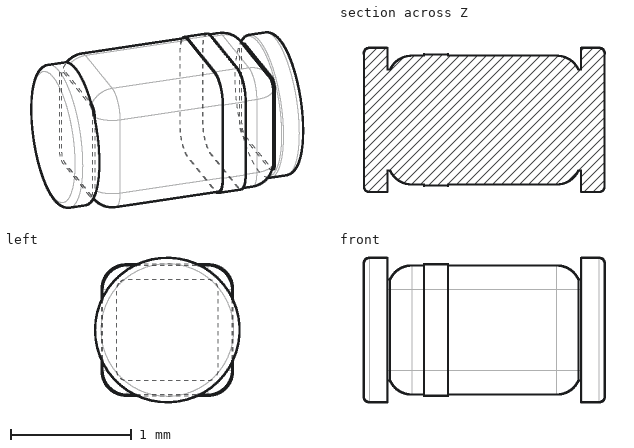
import cadquery as cq

total_length = 2.0
cap_diameter = 1.2
cap_thickness = 0.2
cap_outer_edge_radius = 0.05
cap_inner_edge_radius = 0.012

body_width = 1.072
body_edge_radius = 0.2
body_length = total_length - 2 * cap_thickness

neck_corner_radius = 0.085
neck_depth = 0.04

band_height = 0.01
band_width = 0.2
band_start = -0.5




def square_bar(start, length, width, edge_radius):
    """Square bar along X with its four long edges rounded."""
    bar = cq.Workplane("YZ", origin=(start, 0, 0)).rect(width, width).extrude(length)
    return bar.edges("|X").fillet(edge_radius)


def make_body():
    """Square body with every edge rounded."""
    body = cq.Workplane("XY").box(body_length, body_width, body_width)
    return body.edges().fillet(body_edge_radius)


def make_band():
    """Slightly raised band whose corners stay concentric with the body's."""
    band_side = body_width + 2 * band_height
    return square_bar(band_start, band_width, band_side, body_edge_radius + band_height)


def make_neck(side):
    """Square neck, sunk into the body end, with corners concentric with the body's."""
    neck_width = body_width - 2 * body_edge_radius + 2 * neck_corner_radius
    neck_start = body_length / 2 - neck_depth if side > 0 else -body_length / 2
    return square_bar(neck_start, neck_depth, neck_width, neck_corner_radius)


def make_cap(side):
    """Round end cap with a large radius on its outer rim and a small one on its inner rim."""
    cap_center = side * (total_length - cap_thickness) / 2
    cap = cq.Workplane("YZ").circle(cap_diameter / 2).extrude(cap_thickness / 2, both=True)
    cap = cap.translate((cap_center, 0, 0))
    outer_face, inner_face = (">X", "<X") if side > 0 else ("<X", ">X")
    cap = cap.faces(outer_face).edges().fillet(cap_outer_edge_radius)
    return cap.faces(inner_face).edges().fillet(cap_inner_edge_radius)


result = make_body().union(make_band())
for side in (-1, 1):
    result = result.union(make_neck(side)).union(make_cap(side))